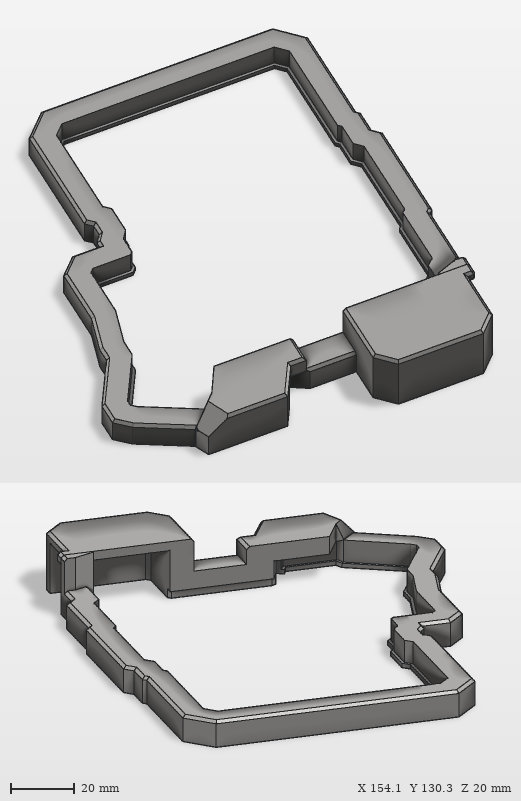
import cadquery as cq


LIP_TOP = 1.5
LINTEL_BOTTOM = 3.0
WALL_TOP = 9.0
THUMB_TOP = 15.0
HOOD_TOP = 20.0
HOOD_CEILING = 17.0

WALL = 8.0
LIP = 1.0
EDGE_CHAMFER = 1.0
INNER_CORNER_CHAMFER = 1.0

LENGTH = 154.11
DEPTH = 130.3
BIG_CORNER = 8.3
HOOD_CORNER = 6.0
JOG_CORNER = 6.0

COVER_EDGE_X = 126.2
NECK_X = 135.95
THUMB_X = 147.2
JOG_X = 59.4
HOOD_STEP_X = 130.3
HOOD_STEP_CORNER = 0.6
POST_X = 122.9
NECK_INNER_X = NECK_X - WALL

UPPER_STEP_Y = DEPTH - 1.2
BACK_Y = 126.6
LOWER_STEP_Y = BACK_Y + 1.1
HOOD_BACK_Y = 123.9
HOOD_FRONT_Y = 82.0
THUMB_BACK_Y = 64.4
NECK_FRONT_Y = 58.9
THUMB_SHOULDER_Y = 52.4
THUMB_FASCIA_Y = 36.6
FRONT_Y = 28.7
NOTCH_Y = FRONT_Y + 2.2
LOWER_FRONT_Y = 13.2
MIDDLE_FRONT_Y = 9.8
HOOD_INNER_BACK_Y = HOOD_BACK_Y - WALL
HOOD_INNER_FRONT_Y = HOOD_FRONT_Y + WALL
BACK_INNER_Y = BACK_Y - WALL

POST_TOP_Y = 122.9
POST_FLANK_END = (125.6, HOOD_INNER_BACK_Y)
FLANK_RUN = (POST_FLANK_END[0] - POST_X) / (POST_TOP_Y - HOOD_INNER_BACK_Y)
POST_FLANK_TOP = (POST_X + (POST_TOP_Y - BACK_INNER_Y) * FLANK_RUN, BACK_INNER_Y)

FASCIA_END = (136.0, 31.1, THUMB_TOP)
RAMP_CREST = (138.7, 28.5, THUMB_TOP)
RAMP_CREST_OUTER = (146.1, 31.8, THUMB_TOP)
RAMP_FOOT = (142.0, 22.9, WALL_TOP)
FASCIA_FOOT = (136.4, 28.5)

HOOD_PORT_END_X = 144.5
THUMB_PORT_START = 1.2
THUMB_PORT_WIDTH = 9.0

JOINT_OVERRUN = 1.3

REACH = 2 * LENGTH

HOOD_EDGE = [
    (HOOD_STEP_X - HOOD_STEP_CORNER, BACK_Y),
    (HOOD_STEP_X, BACK_Y - HOOD_STEP_CORNER),
    (HOOD_STEP_X, HOOD_BACK_Y),
    (LENGTH - HOOD_CORNER, HOOD_BACK_Y),
    (LENGTH, HOOD_BACK_Y - HOOD_CORNER),
    (LENGTH, HOOD_FRONT_Y + HOOD_CORNER),
    (LENGTH - HOOD_CORNER, HOOD_FRONT_Y),
]
THUMB_EDGE = [
    (NECK_X, NECK_FRONT_Y),
    (THUMB_X, THUMB_SHOULDER_Y),
    (THUMB_X, 24.6),
    (142.2, 22.3),
    (132.7, 4.9),
    (128.2, 0.0),
]
OUTLINE = [
    (0.0, FRONT_Y + BIG_CORNER),
    (0.0, BACK_Y - BIG_CORNER),
    (BIG_CORNER, BACK_Y),
    (43.2, BACK_Y),
    (44.3, LOWER_STEP_Y),
    (52.3, LOWER_STEP_Y),
    (54.9, DEPTH),
    (91.0, DEPTH),
    (92.2, UPPER_STEP_Y),
    (113.6, UPPER_STEP_Y),
    (116.0, BACK_Y),
    *HOOD_EDGE,
    (NECK_X, HOOD_FRONT_Y),
    *THUMB_EDGE,
    (120.4, 0.0),
    (103.5, MIDDLE_FRONT_Y),
    (98.7, MIDDLE_FRONT_Y),
    (85.6, LOWER_FRONT_Y),
    (JOG_X + JOG_CORNER, LOWER_FRONT_Y),
    (JOG_X, LOWER_FRONT_Y + JOG_CORNER),
    (JOG_X, FRONT_Y),
    (57.5, FRONT_Y),
    (54.6, NOTCH_Y),
    (50.6, NOTCH_Y),
    (48.5, FRONT_Y),
    (BIG_CORNER, FRONT_Y),
]

shoulder = cq.Vector(THUMB_X - NECK_X, THUMB_SHOULDER_Y - NECK_FRONT_Y).normalized()
shoulder_out = cq.Vector(-shoulder.y, shoulder.x)
SHOULDER_SLOPE = shoulder.y / shoulder.x


def shoulder_inner_y(x):
    """Y of the inner face of the shoulder wall at a given X."""
    on_face = cq.Vector(NECK_X, NECK_FRONT_Y) - shoulder_out * WALL
    return on_face.y + (x - on_face.x) * SHOULDER_SLOPE


def prism(points, bottom, top):
    return cq.Workplane("XY").workplane(offset=bottom).polyline(points).close().extrude(top - bottom)


def block(x_range, y_range, z_range):
    (x0, x1), (y0, y1) = x_range, y_range
    return prism([(x0, y0), (x0, y1), (x1, y1), (x1, y0)], *z_range)


def edged_prism(points, top):
    """Prism from the underside with its top edges chamfered."""
    return prism(points, 0, top).faces(">Z").chamfer(EDGE_CHAMFER)


def above_plane(a, b, c):
    """Large block on the upper side of the plane through three points."""
    origin, along, across = cq.Vector(*a), cq.Vector(*b), cq.Vector(*c)
    normal = (along - origin).cross(across - origin)
    if normal.z < 0:
        normal = -normal
    plane = cq.Plane(origin=origin, xDir=along - origin, normal=normal)
    return cq.Workplane(plane).rect(REACH, REACH).extrude(REACH)



def inner_space():
    space = cq.Workplane("XY").polyline(OUTLINE).close().offset2D(-WALL, "intersection").extrude(HOOD_TOP)
    relief_x = POST_X - 2 * LIP
    relief = [POST_FLANK_TOP, POST_FLANK_END, (relief_x, HOOD_INNER_BACK_Y), (relief_x, BACK_INNER_Y)]
    space = space.union(prism(relief, 0, HOOD_TOP))
    corners = [
        (JOG_X + WALL, FRONT_Y + WALL),
        (NECK_INNER_X, HOOD_INNER_FRONT_Y),
        (NECK_INNER_X, shoulder_inner_y(NECK_INNER_X)),
    ]
    for x, y in corners:
        around = cq.selectors.BoxSelector((x - 1, y - 1, 0), (x + 1, y + 1, HOOD_TOP))
        space = space.edges("|Z").edges(around).chamfer(INNER_CORNER_CHAMFER)
    return space


def space_with_lip(space):
    """The inner space narrowed by the lip at the underside; the hood, neck and post end have no lip."""
    narrowed = (
        cq.Workplane("XY")
        .add(space.faces("<Z").wires().vals())
        .toPending()
        .offset2D(-LIP, "intersection")
        .extrude(LIP_TOP)
    )
    upper = space.intersect(block((0, LENGTH), (0, DEPTH), (LIP_TOP, HOOD_TOP)))
    plain = space.intersect(
        block((COVER_EDGE_X, LENGTH), (shoulder_inner_y(NECK_INNER_X) - 2 * LIP, DEPTH), (0, LIP_TOP))
    )
    post_end = space.intersect(
        block((POST_X, COVER_EDGE_X), (HOOD_INNER_BACK_Y - LIP, HOOD_INNER_BACK_Y), (0, LIP_TOP))
    )
    return upper.union(narrowed).union(plain).union(post_end)


space = space_with_lip(inner_space())


def space_below(height):
    return space.intersect(block((0, LENGTH), (0, DEPTH), (0, height)))



def hood_and_post():
    solid = edged_prism([(JOG_X, HOOD_FRONT_Y), (JOG_X, BACK_Y), *HOOD_EDGE], HOOD_TOP)
    footprint = [
        (POST_X, DEPTH),
        (POST_X, POST_TOP_Y),
        POST_FLANK_END,
        (COVER_EDGE_X, HOOD_INNER_BACK_Y),
        (COVER_EDGE_X, HOOD_FRONT_Y),
        (LENGTH, HOOD_FRONT_Y),
        (LENGTH, DEPTH),
    ]
    return solid.intersect(prism(footprint, 0, HOOD_TOP)).cut(space_below(HOOD_CEILING))


def thumb_cover():
    solid = edged_prism([(JOG_X, 0), (JOG_X, THUMB_BACK_Y), (NECK_X, THUMB_BACK_Y), *THUMB_EDGE], THUMB_TOP)
    footprint = [
        (COVER_EDGE_X, THUMB_BACK_Y),
        (LENGTH, THUMB_BACK_Y),
        (LENGTH, RAMP_FOOT[1] - 1),
        RAMP_FOOT[:2],
        FASCIA_FOOT,
        FASCIA_END[:2],
        (COVER_EDGE_X, THUMB_FASCIA_Y),
    ]
    solid = solid.intersect(prism(footprint, 0, THUMB_TOP)).cut(space_below(WALL_TOP))
    ramp = above_plane(RAMP_CREST, RAMP_CREST_OUTER, RAMP_FOOT)
    flank = above_plane(FASCIA_END, RAMP_CREST, RAMP_FOOT)
    flank = flank.intersect(block((FASCIA_END[0], LENGTH), (0, DEPTH), (0, HOOD_TOP)))
    return solid.cut(ramp).cut(flank)


def neck_lintel():
    """Inner edge of the neck and of the hood's front wall, hanging over the inner space."""
    inside_wall_x = NECK_INNER_X + WALL / 4
    neck = prism(
        [
            (COVER_EDGE_X, HOOD_INNER_FRONT_Y),
            (inside_wall_x, HOOD_INNER_FRONT_Y),
            (inside_wall_x, shoulder_inner_y(inside_wall_x)),
            (COVER_EDGE_X, shoulder_inner_y(COVER_EDGE_X)),
        ],
        LINTEL_BOTTOM,
        WALL_TOP,
    )
    hood_jamb = block(
        (COVER_EDGE_X, inside_wall_x), (HOOD_FRONT_Y, HOOD_INNER_FRONT_Y), (LINTEL_BOTTOM, HOOD_CEILING)
    )
    return neck.union(hood_jamb)


def hood_port():
    return block((COVER_EDGE_X, HOOD_PORT_END_X), (HOOD_INNER_BACK_Y - LIP, DEPTH), (0, HOOD_CEILING))


def thumb_port():
    """Opening square to the shoulder wall, under the thumb cover."""
    inner = cq.Vector(NECK_INNER_X, shoulder_inner_y(NECK_INNER_X)) + shoulder * THUMB_PORT_START
    start = inner - shoulder_out * LIP * 2
    end = inner + shoulder_out * WALL * 2
    across = shoulder * THUMB_PORT_WIDTH
    corners = [start, end, end + across, start + across]
    return prism([(corner.x, corner.y) for corner in corners], 0, WALL_TOP)


def cover_zone():
    """Region of the side cover, bounded by the post's end face and the foot of the ramp's flank."""
    foot = cq.Vector(*RAMP_FOOT[:2])
    along = cq.Vector(*FASCIA_FOOT) - foot
    inner = foot + along * JOINT_OVERRUN
    outer = foot - along
    zone = [
        (COVER_EDGE_X, REACH),
        (COVER_EDGE_X, THUMB_FASCIA_Y),
        (inner.x, inner.y),
        (outer.x, outer.y),
        (REACH, outer.y),
        (REACH, REACH),
    ]
    return prism(zone, 0, HOOD_TOP)



walls = edged_prism(OUTLINE, WALL_TOP).cut(space)
walls = walls.union(hood_and_post()).union(thumb_cover()).union(neck_lintel())
walls = walls.cut(hood_port()).cut(thumb_port())

frame = walls.cut(cover_zone())
side_cover = walls.intersect(cover_zone())

result = cq.Compound.makeCompound([*frame.vals(), *side_cover.vals()])